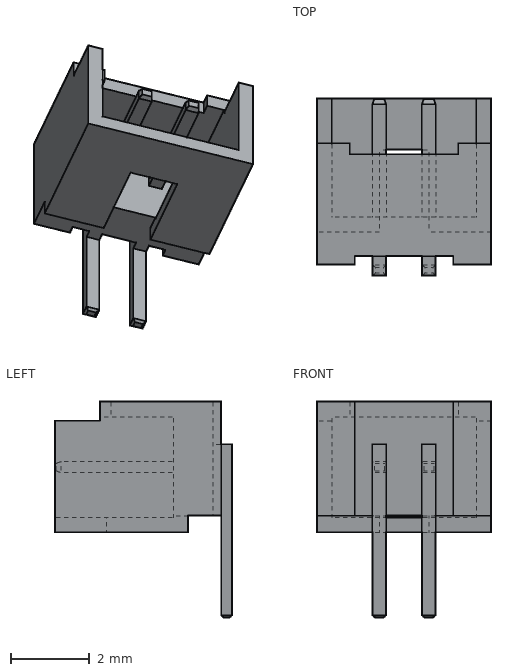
import cadquery as cq

width = 4.43
depth = 4.22
height = 3.325
wall = 0.385

mouth_setback = 1.14
side_wall_drop = 0.49
roof_notch_width = 2.75
roof_notch_depth = 0.275
back_recess_width = 2.49
back_recess_depth = 0.215
heel_step_depth = 0.835
heel_step_height = 0.43

floor_slot_setback = 1.3

pin_count = 2
pin_pitch = 1.255
pin_width = 0.345
pin_thickness = 0.28
pin_top_drop = 1.085
pin_top = height - pin_top_drop
overall_height = 5.49
leg_bottom = height - overall_height
tip_setback = 0.02
contact_tip_length = 0.125
contact_tip_inset = 0.045
leg_tip_length = 0.06
leg_tip_inset = 0.065

mating_face = depth
cavity_back = heel_step_depth + wall
roof_front = mating_face - mouth_setback
leg_face = -pin_thickness
contact_middle = height / 2


def box(x_size, y_range, z_range, x_center=0):
    """Block centred on x_center that fills the given Y and Z ranges."""
    y_min, y_max = y_range
    z_min, z_max = z_range
    return (
        cq.Workplane("XY")
        .box(x_size, y_max - y_min, z_max - z_min, centered=(True, False, False))
        .translate((x_center, y_min, z_min))
    )


def tapered_tip(end_center, direction, length, inset):
    """Four-sided taper on a pin end, growing from end_center along direction."""
    end_plane = cq.Plane(end_center, xDir=(1, 0, 0), normal=direction)
    return (
        cq.Workplane(end_plane)
        .rect(pin_width, pin_thickness)
        .workplane(offset=length)
        .rect(pin_width - 2 * inset, pin_thickness - 2 * inset)
        .loft(ruled=True)
    )


def make_housing():
    body = box(width, (0, depth), (0, height))
    cavity = box(width - 2 * wall, (cavity_back, depth), (wall, height - wall))
    mouth = box(width, (roof_front, depth), (height - side_wall_drop, height))
    mouth_well = box(width - 2 * wall, (roof_front, depth), (wall, height))
    roof_notch = box(roof_notch_width, (roof_front - roof_notch_depth, depth), (height - wall, height))
    back_recess = box(back_recess_width, (0, back_recess_depth), (0, height))
    heel_step = box(width, (0, heel_step_depth), (0, heel_step_height))
    floor_slot = box(pin_pitch, (heel_step_depth, mating_face - floor_slot_setback), (0, heel_step_height))
    for cut in (cavity, mouth, mouth_well, roof_notch, back_recess, heel_step, floor_slot):
        body = body.cut(cut)
    return body


def make_pin(x_center):
    leg_end = leg_bottom + leg_tip_length
    leg = box(pin_width, (leg_face, 0), (leg_end, pin_top), x_center)
    leg_tip_center = (x_center, leg_face / 2, leg_end)
    leg_tip = tapered_tip(leg_tip_center, (0, 0, -1), leg_tip_length, leg_tip_inset)
    web = box(pin_width, (0, back_recess_depth), (heel_step_height, pin_top), x_center)
    contact_end = mating_face - tip_setback - contact_tip_length
    contact_heights = (contact_middle - pin_thickness / 2, contact_middle + pin_thickness / 2)
    contact = box(pin_width, (leg_face, contact_end), contact_heights, x_center)
    contact_tip_center = (x_center, contact_end, contact_middle)
    contact_tip = tapered_tip(contact_tip_center, (0, 1, 0), contact_tip_length, contact_tip_inset)
    return leg.union(leg_tip).union(web).union(contact).union(contact_tip)


connector = make_housing()
for index in range(pin_count):
    connector = connector.union(make_pin((index - (pin_count - 1) / 2) * pin_pitch))

result = connector